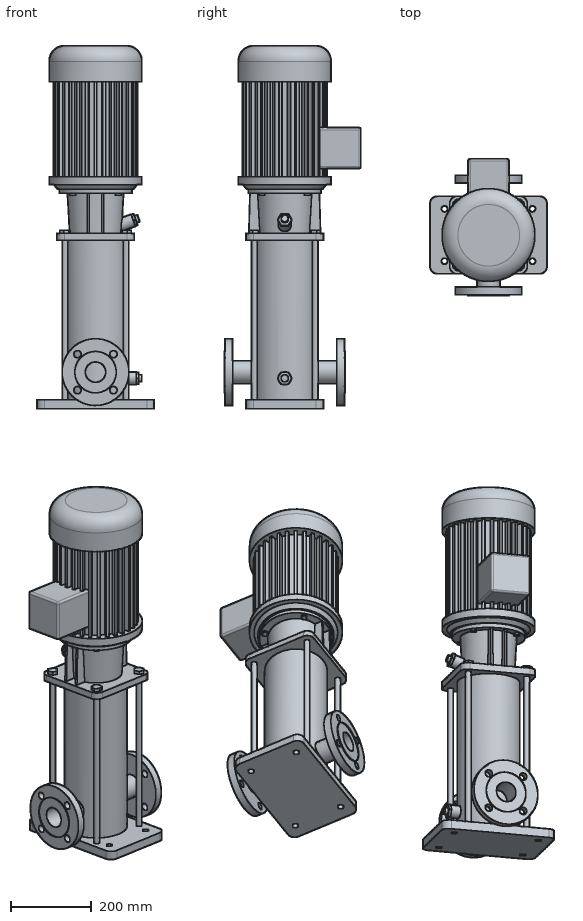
import cadquery as cq
import math


foot_length = 290.0
plate_width = 192.0
foot_height = 22.0
corner_radius = 19.0
anchor_hole_diameter = 14.0
anchor_spacing_x = 217.0
anchor_spacing_y = 129.0

barrel_diameter = 155.0
head_bottom = 416.0
head_top = 433.0
rod_diameter = 14.0
rod_spacing = 151.0
nut_flats = 23.0
nut_height = 8.0

port_height = 91.0
pipe_diameter = 57.0
bore_diameter = 50.0
flange_diameter = 165.0
flange_inner_y = 128.0
flange_thickness = 20.0
raised_face_diameter = 102.0
raised_face_height = 2.0
flange_face_y = flange_inner_y + flange_thickness
port_end_y = flange_face_y + raised_face_height
flange_hole_diameter = 18.0
flange_hole_spacing = 89.0

lantern_bottom_radius = 65.0
lantern_top_radius = 70.0
lantern_top = 532.0
rib_thickness = 5.0
rib_offset = 18.0
rib_bottom_reach = 89.0
rib_top_reach = 86.0
screw_diameter = 14.0
screw_height = 4.5
screw_spacing = 112.0

spigot_diameter = 180.0
spigot_top = 543.0
taper_bottom_radius = 94.0
taper_top_radius = 103.0
motor_radius = 115.0
motor_flange_bottom = 553.5
motor_flange_top = 573.0
cowl_bottom = 807.0
total_height = 897.0
cowl_rounding = 39.0
core_radius = 91.5
fin_radius = 105.0
fin_thickness = 7.0
fin_count = 30
fin_overlap = 9.0

box_size = 101.0
box_center_z = 644.0
box_end_y = 188.0
box_rounding = 5.0

plug_diameter = 32.0
plug_hex_flats = 30.5
plug_hex_height = 6.0
plug_tip_diameter = 18.0
plug_tip_height = 8.0
drain_height = 75.0
drain_shoulder_x = 100.5
filler_shoulder_x = 93.0
filler_shoulder_z = 465.5
filler_body_length = 45.0
filler_angle = 20.0


def rounded_plate(length, bottom, top):
    plate = cq.Workplane("XY").workplane(offset=bottom).rect(length, plate_width).extrude(top - bottom)
    return plate.edges("|Z").fillet(corner_radius)


def hexagon(workplane, flats, height):
    return workplane.polygon(6, flats / math.cos(math.pi / 6)).extrude(height)


def foot():
    plate = rounded_plate(foot_length, 0, foot_height)
    return (
        plate.faces(">Z").workplane(origin=(0, 0, foot_height))
        .rect(anchor_spacing_x, anchor_spacing_y, forConstruction=True).vertices()
        .hole(anchor_hole_diameter)
    )


def tie_rods():
    """Four rods between the plates, with a hexagon nut above each on the head plate."""
    rods = (
        cq.Workplane("XY").workplane(offset=foot_height)
        .rect(rod_spacing, rod_spacing, forConstruction=True).vertices()
        .circle(rod_diameter / 2).extrude(head_bottom - foot_height)
    )
    for x in (-rod_spacing / 2, rod_spacing / 2):
        for y in (-rod_spacing / 2, rod_spacing / 2):
            seat = cq.Plane(origin=(x, y, head_top), xDir=(-y, x, 0), normal=(0, 0, 1))
            rods = rods.union(hexagon(cq.Workplane(seat), nut_flats, nut_height))
    return rods


def port(side):
    """Pipe and drilled flange pointing along -Y (side = -1) or +Y (side = 1)."""
    def face_at(distance):
        plane = cq.Plane(origin=(0, side * distance, port_height), xDir=(1, 0, 0), normal=(0, side, 0))
        return cq.Workplane(plane)

    def section(diameter, start, end):
        return face_at(start).circle(diameter / 2).extrude(end - start)

    holes = (
        face_at(flange_inner_y)
        .rect(flange_hole_spacing, flange_hole_spacing, forConstruction=True).vertices()
        .circle(flange_hole_diameter / 2).extrude(flange_thickness)
    )
    outside = (
        section(pipe_diameter, 0, flange_inner_y)
        .union(section(flange_diameter, flange_inner_y, flange_face_y))
        .union(section(raised_face_diameter, flange_face_y, port_end_y))
    )
    return outside.cut(holes).cut(section(bore_diameter, 0, port_end_y))


def lantern():
    """Tapered housing with a pair of upright ribs on the -Y and +Y sides."""
    height = lantern_top - head_top
    housing = cq.Workplane("XY").add(
        cq.Solid.makeCone(lantern_bottom_radius, lantern_top_radius, height, pnt=cq.Vector(0, 0, head_top))
    )
    for x in (-rib_offset, rib_offset):
        rib = (
            cq.Workplane("YZ").workplane(offset=x)
            .moveTo(-rib_bottom_reach, head_top)
            .lineTo(rib_bottom_reach, head_top)
            .lineTo(rib_top_reach, lantern_top)
            .lineTo(-rib_top_reach, lantern_top)
            .close().extrude(rib_thickness / 2, both=True)
        )
        housing = housing.union(rib)
    screws = (
        cq.Workplane("XY").workplane(offset=lantern_top - screw_height)
        .rect(screw_spacing, screw_spacing, forConstruction=True).vertices()
        .circle(screw_diameter / 2).extrude(screw_height)
    )
    return housing.union(screws)


def motor_shell():
    """Spigot, taper, mounting flange, plain core and rounded fan cowl in one revolved profile."""
    arc_turn = cowl_rounding * math.sqrt(0.5)
    arc_center_r = motor_radius - cowl_rounding
    arc_center_z = total_height - cowl_rounding
    return (
        cq.Workplane("XZ")
        .moveTo(0, lantern_top)
        .lineTo(spigot_diameter / 2, lantern_top)
        .lineTo(spigot_diameter / 2, spigot_top)
        .lineTo(taper_bottom_radius, spigot_top)
        .lineTo(taper_top_radius, motor_flange_bottom)
        .lineTo(motor_radius, motor_flange_bottom)
        .lineTo(motor_radius, motor_flange_top)
        .lineTo(core_radius, motor_flange_top)
        .lineTo(core_radius, cowl_bottom)
        .lineTo(motor_radius, cowl_bottom)
        .lineTo(motor_radius, arc_center_z)
        .threePointArc((arc_center_r + arc_turn, arc_center_z + arc_turn), (arc_center_r, total_height))
        .lineTo(0, total_height)
        .close().revolve(360, (0, 0, 0), (0, 1, 0))
    )


def cooling_fins():
    """Upright fins around the core, one of them at -Y."""
    length = cowl_bottom - motor_flange_top
    root_radius = core_radius - fin_overlap
    return (
        cq.Workplane("XY").workplane(offset=motor_flange_top)
        .polarArray((fin_radius + root_radius) / 2, -90, 360, fin_count)
        .rect(fin_radius - root_radius, fin_thickness).extrude(length)
    )


def terminal_box():
    box = cq.Workplane("XY").box(box_size, box_end_y, box_size).translate((0, box_end_y / 2, box_center_z))
    return box.edges("not <Y").fillet(box_rounding)


def plug(shoulder, direction, body_length):
    """Round plug body ending at the shoulder, then a hexagon and a small round tip."""
    plane = cq.Plane(origin=shoulder, xDir=(0, 1, 0), normal=direction)
    body = cq.Workplane(plane).circle(plug_diameter / 2).extrude(-body_length)
    head = hexagon(cq.Workplane(plane), plug_hex_flats, plug_hex_height)
    tip = cq.Workplane(plane).circle(plug_tip_diameter / 2).extrude(plug_hex_height + plug_tip_height)
    return body.union(head).union(tip)


filler_slope = math.radians(filler_angle)
filler_direction = (math.cos(filler_slope), 0, math.sin(filler_slope))

barrel = (
    cq.Workplane("XY").workplane(offset=foot_height)
    .circle(barrel_diameter / 2).extrude(head_bottom - foot_height)
)
head_plate = rounded_plate(plate_width, head_bottom, head_top)
drain_plug = plug((drain_shoulder_x, 0, drain_height), (1, 0, 0), drain_shoulder_x)
filler_plug = plug((filler_shoulder_x, 0, filler_shoulder_z), filler_direction, filler_body_length)

result = foot()
for side in (-1, 1):
    result = result.union(port(side))
result = result.union(barrel).union(head_plate).union(tie_rods())
result = result.union(drain_plug).union(lantern()).union(filler_plug)
result = result.union(motor_shell()).union(cooling_fins()).union(terminal_box())